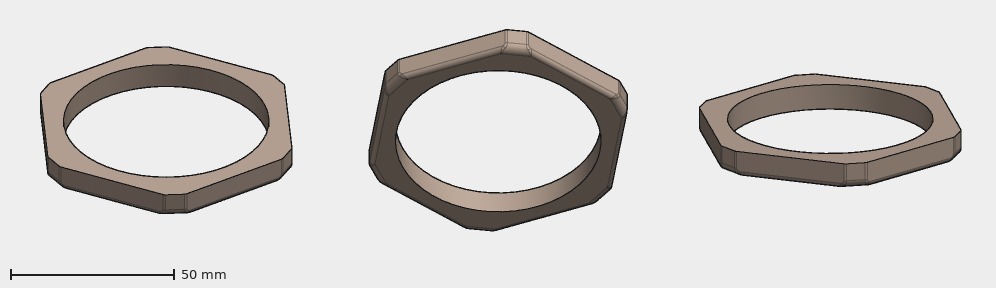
import cadquery as cq
import math

ACROSS_FLATS = 75.0
ACROSS_CORNERS = 82.8
THICKNESS = 8.0
BORE_DIAMETER = 63.0
FLAT_EDGE_RADIUS = 1.5
CORNER_EDGE_RADIUS = 2.5
CORNER_BLEND_RADIUS = 1.5
SIDES = 6


def rounded_hexagon(across_flats, edge_radius, rotation):
    """Hexagonal plate with its underside rim rounded, turned about Z by rotation degrees."""
    circumscribed_diameter = across_flats / math.cos(math.pi / SIDES)
    return (
        cq.Workplane("XY")
        .polygon(SIDES, circumscribed_diameter)
        .extrude(THICKNESS)
        .faces("<Z")
        .edges()
        .fillet(edge_radius)
        .rotate((0, 0, 0), (0, 0, 1), rotation)
    )


def nut_blank():
    """Wrench hexagon with its corners cut by a second hexagon turned half a side."""
    wrench_flats = rounded_hexagon(ACROSS_FLATS, FLAT_EDGE_RADIUS, 0)
    corner_cuts = rounded_hexagon(ACROSS_CORNERS, CORNER_EDGE_RADIUS, 180 / SIDES)
    return wrench_flats.intersect(corner_cuts)


def blend_corners(blank):
    """Round the upright edges where the flats meet the cut corners."""
    return blank.edges("|Z").fillet(CORNER_BLEND_RADIUS)


def cut_bore(blank):
    """Plain round opening through the full thickness."""
    bore = cq.Workplane("XY").circle(BORE_DIAMETER / 2).extrude(THICKNESS)
    return blank.cut(bore)


result = cut_bore(blend_corners(nut_blank()))